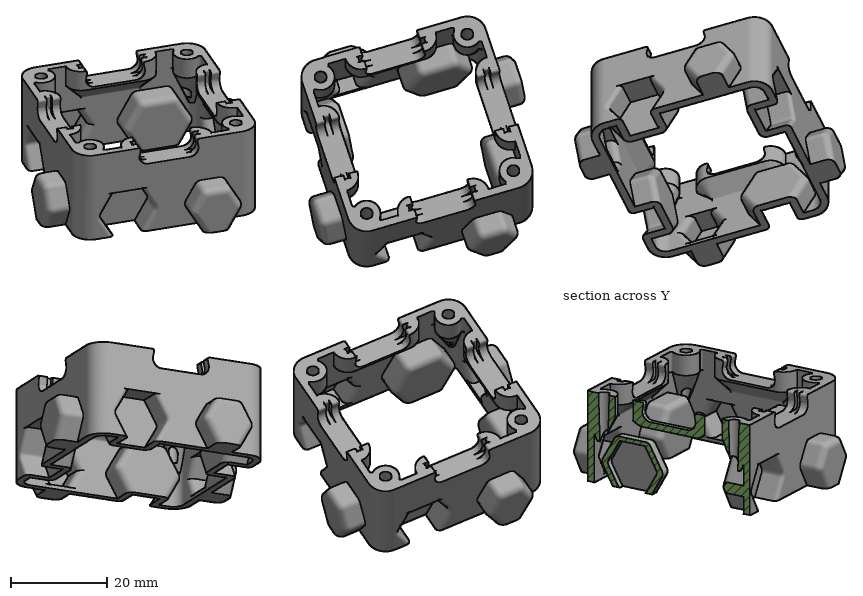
import cadquery as cq
import math

body_size = 40.0
body_height = 20.0
corner_radius = 4.0
wall = 1.65
outer_half = body_size / 2
inner_half = outer_half - wall

hex_offset = 9.0
hex_height = 5.05
knob_length = 5.0
knob_apothem = 5.0
knob_hollow_apothem = 3.65
knob_hollow_flat_apothem = 4.2
knob_hollow_mouth_radius = 1.4
socket_clearance = 0.3
socket_apothem = knob_apothem + socket_clearance
socket_depth = knob_length + socket_clearance
socket_mouth_radius = 0.9
socket_corner_radius = 1.1
shell_apothem = 6.7
shell_flat_apothem = 6.35
hex_edge_radius = 1.5

notch_floor = 16.0
notch_half_width = 6.5
notch_corner_radius = 2.0
notch_lip_radius = 0.5
groove_half_width = 7.5
groove_corner_radius = 1.0
groove_lip_radius = 0.3
groove_width = 1.25
groove_inset = 1.95
lip_overhang = 0.3

pad_thickness = 5.0
pad_projection = pad_thickness - wall
pad_lower_edge = 15.5
pad_blend_radius = 0.6

post_offset = outer_half - corner_radius
post_radius = 2.9
post_blend_radius = 0.4
post_lower_edge = 15.5
post_foot_height = 7.25
post_foot_radius = 0.75
screw_top_diameter = 2.5
screw_end_diameter = 1.8
screw_end_height = 9.0

quarter_turns = (0, 90, 180, 270)


def around(feature):
    """Combine four copies of a feature, one for each quarter turn about Z."""
    copies = feature
    for angle in quarter_turns[1:]:
        copies = copies.union(feature.rotate((0, 0, 0), (0, 0, 1), angle))
    return copies


def prism_y(points, y_start, y_end):
    """Extrude an XZ outline from y_start to a larger y_end."""
    plane = cq.Workplane("XZ", origin=(0, y_end, 0))
    return plane.polyline(points).close().extrude(y_end - y_start)


def hexagon(slope_apothem, flat_apothem, centre_x):
    """Hexagon corners in XZ: 60 degree sloping sides with a flat top and bottom."""
    half_width = slope_apothem / math.cos(math.pi / 6)
    half_flat = half_width - flat_apothem / math.sqrt(3)
    half_corners = [(half_width, 0), (half_flat, flat_apothem), (-half_flat, flat_apothem)]
    return [(centre_x + side * x, hex_height + side * z) for side in (1, -1) for x, z in half_corners]


def peaked_hexagon(apothem, centre_x, peak_up, peak_down):
    """Hexagon whose upper or lower sloping sides run on until they meet in a peak."""
    corners = hexagon(apothem, apothem, centre_x)
    upper = [(centre_x, hex_height + 2 * apothem)] if peak_up else corners[1:3]
    lower = [(centre_x, hex_height - 2 * apothem)] if peak_down else corners[4:]
    return [corners[0]] + upper + [corners[3]] + lower


def rounded_block(outline, y_start, y_end, end_face):
    """Block with rounded long edges and a rounded end face."""
    block = prism_y(outline, y_start, y_end)
    long_edges = block.edges("|Y")
    return long_edges.add(block.faces(end_face).edges()).fillet(hex_edge_radius)


def flared_mouth(bore, radius, centre_x, y_start, mouth_face):
    """Cutter that rounds the mouth of a bore over a depth equal to the radius."""
    blank = (
        cq.Workplane("XY")
        .box(body_size, radius, body_size, centered=(True, False, True))
        .translate((centre_x, y_start, hex_height))
    )
    plate = blank.cut(bore)
    plate = plate.faces(mouth_face).edges(cq.selectors.BoxSelector(
        (centre_x - 0.4 * body_size, y_start - 0.5, hex_height - 0.4 * body_size),
        (centre_x + 0.4 * body_size, y_start + radius + 0.5, hex_height + 0.4 * body_size),
    )).fillet(radius * 0.999)
    return blank.cut(plate)


def height_band(z_low, z_high):
    """Slab used to flatten the top and bottom of a cutter."""
    span = 2 * body_size
    return cq.Workplane("XY", origin=(0, 0, z_low)).rect(span, span).extrude(z_high - z_low)


def socket_cutter():
    """Pocket for a neighbouring knob, opening on the -Y face."""
    bore = prism_y(
        peaked_hexagon(socket_apothem, -hex_offset, True, False), -outer_half - 0.5, -outer_half + socket_depth
    )
    bore = bore.edges("|Y").fillet(socket_corner_radius)
    mouth = flared_mouth(bore, socket_mouth_radius, -hex_offset, -outer_half, "<Y")
    top = hex_height + socket_apothem
    return bore.union(mouth).intersect(height_band(-body_height, top))


def knob_hollow_cutter():
    """Hollow of a knob, opening on the inside of the -Y wall."""
    bore = prism_y(
        peaked_hexagon(knob_hollow_apothem, hex_offset, True, True), -inner_half - knob_length, -inner_half + 0.5
    )
    mouth = flared_mouth(
        bore, knob_hollow_mouth_radius, hex_offset, -inner_half - knob_hollow_mouth_radius, ">Y"
    )
    band = height_band(
        hex_height - knob_hollow_flat_apothem, hex_height + knob_hollow_flat_apothem
    )
    return bore.union(mouth).intersect(band)


def notch_cutter(half_width, corner, lip, y_start, y_end):
    """Notch with rounded lower corners, sides leaning inward and rounded lips."""
    diagonal = math.sqrt(0.5)
    shoulder = notch_floor + corner
    pinch = half_width - lip_overhang
    corner_x = half_width - corner + corner * diagonal
    corner_z = shoulder - corner * diagonal
    lip_x = pinch + lip - lip * diagonal
    lip_z = body_height - lip + lip * diagonal
    return (
        cq.Workplane("XZ", origin=(0, y_end, 0))
        .moveTo(-half_width + corner, notch_floor)
        .lineTo(half_width - corner, notch_floor)
        .threePointArc((corner_x, corner_z), (half_width, shoulder))
        .lineTo(pinch, body_height - lip)
        .threePointArc((lip_x, lip_z), (pinch + lip, body_height))
        .lineTo(-pinch - lip, body_height)
        .threePointArc((-lip_x, lip_z), (-pinch, body_height - lip))
        .lineTo(-half_width, shoulder)
        .threePointArc((-corner_x, corner_z), (-half_width + corner, notch_floor))
        .close()
        .extrude(y_end - y_start)
    )


def pad_blend():
    """Concave strip between the sloping underside of a pad and the wall below it."""
    root = pad_lower_edge - pad_projection
    tangent_length = pad_blend_radius * math.tan(math.pi / 8)
    slope_step = tangent_length * math.sqrt(0.5)
    arc_y = pad_blend_radius * (1 - math.cos(math.pi / 8))
    arc_z = root - tangent_length + pad_blend_radius * math.sin(math.pi / 8)
    return (
        cq.Workplane("YZ", origin=(-notch_half_width, -inner_half, 0))
        .moveTo(slope_step, root + slope_step)
        .threePointArc((arc_y, arc_z), (0, root - tangent_length))
        .lineTo(-wall / 2, root - tangent_length)
        .lineTo(-wall / 2, root + slope_step)
        .close()
        .extrude(2 * notch_half_width)
    )


def notch_pad():
    """Inward pad along the -Y wall, ending in half-round columns with conical feet."""
    half_profile = [
        (0, body_height),
        (pad_projection, body_height),
        (pad_projection, pad_lower_edge),
        (0, pad_lower_edge - pad_projection),
    ]
    mirrored = [(-pad_projection, pad_lower_edge), (-pad_projection, body_height)]
    pad = (
        cq.Workplane("YZ", origin=(-notch_half_width, -inner_half, 0))
        .polyline(half_profile[1:] + mirrored)
        .close()
        .extrude(2 * notch_half_width)
    )
    for side in (-1, 1):
        column = (
            cq.Workplane("YZ", origin=(side * notch_half_width, -inner_half, 0))
            .polyline(half_profile)
            .close()
            .revolve(180, (0, 0), (0, -side))
        )
        pad = pad.union(column)
    return pad.union(pad_blend())


def rounded_prism(half_size, radius):
    """Upright square prism with rounded vertical edges."""
    square = cq.Workplane("XY").rect(2 * half_size, 2 * half_size).extrude(body_height)
    return square.edges("|Z").fillet(radius)


def screw_post(frame, cavity):
    """Part of the (-X, -Y) screw post inside the cavity, with a leaning conical foot."""
    post = cq.Workplane("XY").center(-post_offset, -post_offset).circle(post_radius).extrude(body_height)
    near_post = cq.selectors.BoxSelector(
        (-inner_half - 0.5, -inner_half - 0.5, 0),
        (-post_offset + post_radius, -post_offset + post_radius, body_height),
    )
    blended = frame.union(post).edges("|Z").edges(near_post).fillet(post_blend_radius)
    blended = blended.intersect(height_band(post_lower_edge, body_height))

    cavity_corner = post_offset + (corner_radius - wall) * math.sqrt(0.5)
    lean = post_offset - cavity_corner
    foot = (
        cq.Workplane("XY", origin=(-post_offset, -post_offset, post_lower_edge))
        .circle(post_radius)
        .workplane(offset=post_foot_height - post_lower_edge)
        .center(lean, lean)
        .circle(post_foot_radius)
        .loft()
    )
    return blended.union(foot).intersect(cavity)


def screw_hole():
    """Tapered hole down the (-X, -Y) screw post."""
    return (
        cq.Workplane("XY", origin=(-post_offset, -post_offset, body_height))
        .circle(screw_top_diameter / 2)
        .workplane(offset=screw_end_height - body_height)
        .circle(screw_end_diameter / 2)
        .loft()
    )


outer = rounded_prism(outer_half, corner_radius)
cavity = rounded_prism(inner_half, corner_radius - wall)
frame = outer.cut(cavity)

inside_features = around(notch_pad()).union(around(screw_post(frame, cavity))).intersect(outer)

socket_shell = rounded_block(
    hexagon(shell_apothem, shell_flat_apothem, -hex_offset),
    -outer_half + wall / 2,
    -outer_half + socket_depth + wall,
    ">Y",
)
knob = rounded_block(
    peaked_hexagon(knob_apothem, hex_offset, False, True),
    -outer_half - knob_length,
    -outer_half + wall / 2,
    "<Y",
)
solid = frame.union(inside_features).union(around(socket_shell)).union(around(knob))

notch = notch_cutter(
    notch_half_width, notch_corner_radius, notch_lip_radius, -outer_half - 0.5, -outer_half + pad_thickness + 0.5
)
groove_start = -outer_half + groove_inset
groove = notch_cutter(
    groove_half_width,
    groove_corner_radius,
    groove_lip_radius,
    groove_start,
    groove_start + groove_width,
)
for cutter in (socket_cutter(), knob_hollow_cutter(), notch, groove, screw_hole()):
    solid = solid.cut(around(cutter))

result = solid.intersect(height_band(0, body_height))